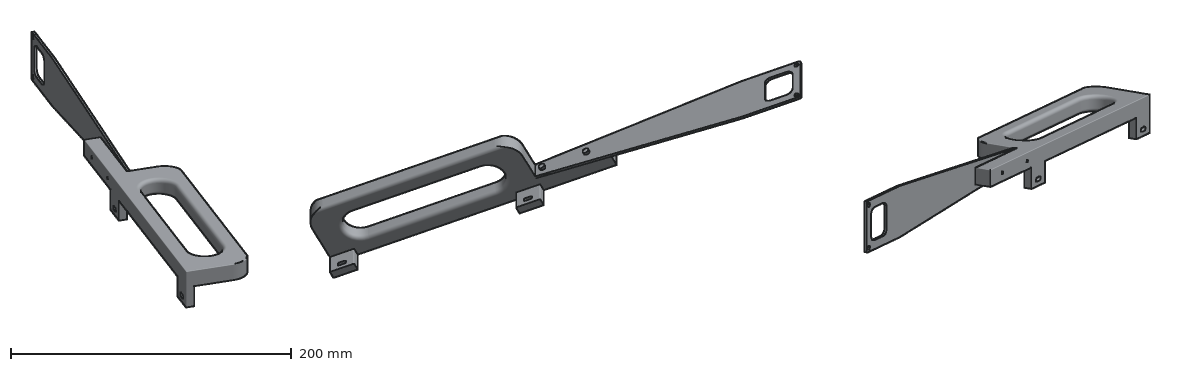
import cadquery as cq

INCH = 25.4
TOTAL_LENGTH = 373.29
TOTAL_DEPTH = 2 * INCH
TOTAL_HEIGHT = 41.33

BAR_LENGTH = 8.75 * INCH
BAR_DEPTH = INCH / 2
BAR_HEIGHT = INCH / 2
HANDLE_LENGTH = 6.5 * INCH
HANDLE_CORNER_RADIUS = 15.0
REAR_FILLET = 2.5
EDGE_BREAK = 0.5
bar_start = TOTAL_LENGTH - BAR_LENGTH
bar_bottom = -BAR_HEIGHT / 2
handle_start = TOTAL_LENGTH - HANDLE_LENGTH

GRIP_WIDTH = INCH
GRIP_STRAIGHT = 100.0
GRIP_FILLET = 3.0
GRIP_TO_END = 83.0
SELECTION_MARGIN = 1.0
grip_length = GRIP_STRAIGHT + GRIP_WIDTH
grip_center = (TOTAL_LENGTH - GRIP_TO_END, TOTAL_DEPTH / 2)

PLATE_HEIGHT = 1.5 * INCH
PLATE_THICKNESS = 2.0
PLATE_STRAIGHT = 46.0
PLATE_CORNER_RADIUS = 1.5
plate_back = BAR_DEPTH + PLATE_THICKNESS

WINDOW_LENGTH = 22.0
WINDOW_HEIGHT = 24.5
WINDOW_OFFSET = 6.2
WINDOW_CORNER_RADIUS = 5.0
CORNER_HOLE_DIAMETER = 3.0
CORNER_HOLE_INSET = 3.2

SCREW_OFFSETS = (16.7, 51.3)
SCREW_HEAD_DIAMETER = 4.5
SCREW_HEAD_HEIGHT = 2.0
SCREW_HOLE_DIAMETER = 2.05
screw_points = [(bar_start + offset, 0) for offset in SCREW_OFFSETS]

FOOT_LENGTH = 0.75 * INCH
FOOT_THICKNESS = INCH / 4
FOOT_SLOT_LENGTH = 6.5
FOOT_SLOT_HEIGHT = 3.0
FOOT_SLOT_RISE = 5.1
foot_bottom = PLATE_HEIGHT / 2 - TOTAL_HEIGHT


def box(corner, size):
    """Box placed by its lowest corner."""
    return cq.Workplane("XY").box(*size, centered=False).translate(corner)


def front_sketch(y):
    """Sketch plane with X right and Z up; a negative extrusion runs towards +Y."""
    return cq.Workplane("XZ", origin=(0, y, 0))


def cylinders(points, y_start, diameter, length):
    """Equal cylinders at (X, Z) points, running from y_start towards +Y."""
    return front_sketch(y_start).pushPoints(points).circle(diameter / 2).extrude(-length)


def make_block():
    """Bar and handle, with broken top edges and rounded long rear edges."""
    bar = box((bar_start, 0, bar_bottom), (BAR_LENGTH, BAR_DEPTH, BAR_HEIGHT))
    handle_box = box((handle_start, 0, bar_bottom), (HANDLE_LENGTH, TOTAL_DEPTH, BAR_HEIGHT))
    handle = handle_box.edges("|Z and >Y").fillet(HANDLE_CORNER_RADIUS)
    block = bar.union(handle).clean()
    top_edges = block.faces(">Z").edges()
    front_right_edge = block.edges("|Z and >X").edges("<Y")
    block = block.newObject(top_edges.vals() + front_right_edge.vals()).fillet(EDGE_BREAK)

    rear_rounding = box((bar_start, 0, bar_bottom), (BAR_LENGTH, TOTAL_DEPTH, BAR_HEIGHT))
    return block.intersect(rear_rounding.edges("|X and >Y").fillet(REAR_FILLET))


def cut_grip_slot(block):
    """Cut the grip slot and round its rim on both faces."""
    grip = (
        cq.Workplane("XY", origin=(*grip_center, bar_bottom))
        .slot2D(grip_length, GRIP_WIDTH)
        .extrude(BAR_HEIGHT)
    )
    half_length = grip_length / 2
    half_width = GRIP_WIDTH / 2
    x, y = grip_center
    around_grip = cq.selectors.BoxSelector(
        (x - half_length, y - half_width - SELECTION_MARGIN, -BAR_HEIGHT),
        (x + half_length, y + half_width + SELECTION_MARGIN, BAR_HEIGHT),
    )
    return block.cut(grip).faces("|Z").edges(around_grip).fillet(GRIP_FILLET)


def make_foot(x_start, broken_edges):
    """Foot with the given vertical edges broken and a horizontal slot from front to back."""
    size = (FOOT_LENGTH, FOOT_THICKNESS, bar_bottom - foot_bottom)
    foot = box((x_start, 0, foot_bottom), size).edges(broken_edges).fillet(EDGE_BREAK)
    slot = (
        front_sketch(0)
        .center(x_start + FOOT_LENGTH / 2, foot_bottom + FOOT_SLOT_RISE)
        .slot2D(FOOT_SLOT_LENGTH, FOOT_SLOT_HEIGHT)
        .extrude(-FOOT_THICKNESS)
    )
    return foot.cut(slot)


def make_plate():
    """Plate tapering to the bar's height, with a rounded window and two corner holes."""
    upper_edge = [(0, PLATE_HEIGHT / 2), (PLATE_STRAIGHT, PLATE_HEIGHT / 2), (handle_start, BAR_HEIGHT / 2)]
    lower_edge = [(x, -z) for x, z in reversed(upper_edge)]
    plate = front_sketch(BAR_DEPTH).polyline(upper_edge + lower_edge).close().extrude(-PLATE_THICKNESS)
    plate = plate.edges("|Y and <X").fillet(PLATE_CORNER_RADIUS)

    window_corner = (WINDOW_OFFSET, BAR_DEPTH, -WINDOW_HEIGHT / 2)
    window = box(window_corner, (WINDOW_LENGTH, PLATE_THICKNESS, WINDOW_HEIGHT))
    window = window.edges("|Y").fillet(WINDOW_CORNER_RADIUS)

    hole_height = PLATE_HEIGHT / 2 - CORNER_HOLE_INSET
    hole_points = [(CORNER_HOLE_INSET, -hole_height), (CORNER_HOLE_INSET, hole_height)]
    holes = cylinders(hole_points, BAR_DEPTH, CORNER_HOLE_DIAMETER, PLATE_THICKNESS)
    return plate.cut(window).cut(holes)


inner_foot = make_foot(handle_start, "|Z and >Y")
end_foot = make_foot(TOTAL_LENGTH - FOOT_LENGTH, "|Z and (>Y or >X)")
screw_heads = cylinders(screw_points, plate_back, SCREW_HEAD_DIAMETER, SCREW_HEAD_HEIGHT)
screw_holes = cylinders(screw_points, 0, SCREW_HOLE_DIAMETER, BAR_DEPTH)

result = cut_grip_slot(make_block()).union(inner_foot).union(end_foot)
result = result.union(make_plate()).union(screw_heads).cut(screw_holes)